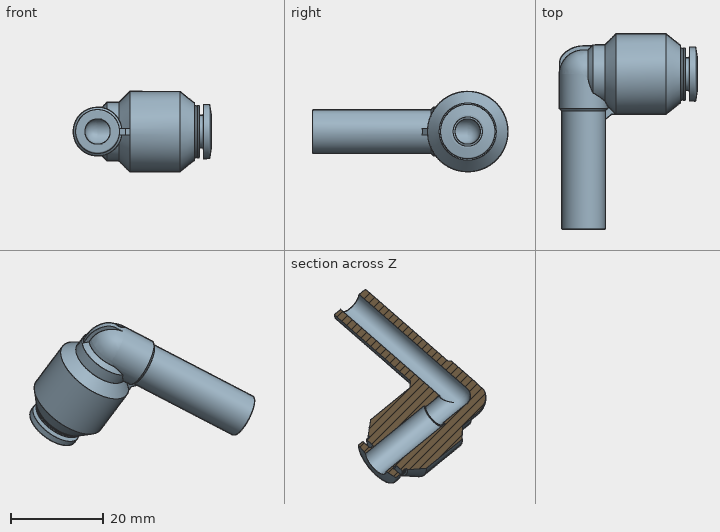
import cadquery as cq
import math


stem_end = 33.7
release_end = 24.69

elbow_radius = 5.3
elbow_collar_end = 7.97
stem_radius = 9.53 / 2
stem_end_fillet = 0.3
bore_radius = 5.5 / 2

neck_start = 0.97
neck_radius = 6.37
body_start = 7.0
body_end = 17.87
body_radius = 17.5 / 2
nose_end = 21.07
nose_radius = 6.2
tube_radius = 6.35 / 2

ring_end = 22.1
ring_radius = 11.4 / 2
ring_chamfer = 0.13
ring_groove_start = 21.4
ring_groove_width = 0.25
ring_groove_depth = 0.12

button_shank_radius = 7.15 / 2
button_start = 22.94
button_rim_end = 24.35
button_radius = 11.8 / 2
button_face_radius = 3.6
button_fillet = 0.25

web_thickness = 1.4
outer_web_left = -5.22
outer_web_radius = 6.15
outer_web_corner_radius = 2.8
gusset_flat_start = 6.07
gusset_rise = 1.1
web_overlap = 1.0


def make_stem():
    """Stem with a rounded end and a collar with a 45 degree chamfer, turned about Y."""
    collar_chamfer = elbow_radius - stem_radius
    profile = [
        (0, 0),
        (elbow_radius, 0),
        (elbow_radius, -elbow_collar_end + collar_chamfer),
        (stem_radius, -elbow_collar_end),
        (stem_radius, -stem_end),
        (0, -stem_end),
    ]
    stem = cq.Workplane("XY").polyline(profile).close().revolve(360, (0, 0, 0), (0, 1, 0))
    return stem.faces("<Y").edges().fillet(stem_end_fillet)


def make_socket():
    """Elbow arm, neck and socket body, turned about X with 45 degree rear cones."""
    neck_cone_end = neck_start + neck_radius - elbow_radius
    body_cone_start = body_start - (body_radius - neck_radius)
    profile = [
        (0, 0),
        (0, elbow_radius),
        (neck_start, elbow_radius),
        (neck_cone_end, neck_radius),
        (body_cone_start, neck_radius),
        (body_start, body_radius),
        (body_end, body_radius),
        (nose_end, nose_radius),
        (nose_end, 0),
    ]
    return cq.Workplane("XY").polyline(profile).close().revolve(360, (0, 0, 0), (1, 0, 0))


def make_ring():
    """Grooved retaining ring, turned about X."""
    groove_end = ring_groove_start + ring_groove_width
    groove_radius = ring_radius - ring_groove_depth
    profile = [
        (body_end, 0),
        (body_end, ring_radius),
        (ring_groove_start, ring_radius),
        (ring_groove_start, groove_radius),
        (groove_end, groove_radius),
        (groove_end, ring_radius),
        (ring_end - ring_chamfer, ring_radius),
        (ring_end, ring_radius - ring_chamfer),
        (ring_end, 0),
    ]
    return cq.Workplane("XY").polyline(profile).close().revolve(360, (0, 0, 0), (1, 0, 0))


def make_button():
    """Release button with a shallow conical face, rounded rim and filleted shank, turned about X."""
    profile = [
        (body_end, 0),
        (body_end, button_shank_radius),
        (button_start, button_shank_radius),
        (button_start, button_radius),
        (button_rim_end, button_radius),
        (release_end, button_face_radius),
        (release_end, 0),
    ]
    button = cq.Workplane("XY").polyline(profile).close().revolve(360, (0, 0, 0), (1, 0, 0))
    rim = cq.selectors.NearestToPointSelector((button_rim_end, 0, 0))
    root_box_half = button_shank_radius + button_fillet
    shank_root = cq.selectors.BoxSelector(
        (button_start - button_fillet, -root_box_half, -root_box_half),
        (button_start + button_fillet, root_box_half, root_box_half),
        boundingbox=True,
    )
    return button.edges(rim).fillet(button_fillet).edges(shank_root).fillet(button_fillet)


def make_outer_web():
    """Web around the bend: an arc about the origin, blended into a flat left side."""
    web_end = neck_start + web_overlap
    centre_distance = outer_web_radius - outer_web_corner_radius
    corner_x = outer_web_left + outer_web_corner_radius
    corner_y = math.sqrt(centre_distance**2 - corner_x**2)
    blend_x = corner_x * outer_web_radius / centre_distance
    blend_y = corner_y * outer_web_radius / centre_distance
    return (
        cq.Workplane("XY")
        .moveTo(web_end, 0)
        .lineTo(outer_web_left, 0)
        .lineTo(outer_web_left, corner_y)
        .tangentArcPoint((blend_x, blend_y), relative=False)
        .tangentArcPoint((0, outer_web_radius), relative=False)
        .lineTo(web_end, outer_web_radius)
        .close()
        .extrude(web_thickness / 2, both=True)
    )


def make_gusset():
    """Sloped web inside the bend, joining the stem to the rear of the body."""
    slope = gusset_rise / (gusset_flat_start - stem_radius)
    inner_x = stem_radius - web_overlap
    slope_end = -body_radius - slope * (gusset_flat_start - inner_x)
    outline = [
        (inner_x, -neck_radius + web_overlap),
        (inner_x, slope_end),
        (gusset_flat_start, -body_radius),
        (body_start, -body_radius),
        (body_start, -neck_radius + web_overlap),
    ]
    return cq.Workplane("XY").polyline(outline).close().extrude(web_thickness / 2, both=True)


def make_passage():
    """Flow bore with a rounded bend, opening into the tube bore."""
    stem_bore = cq.Workplane("XZ").circle(bore_radius).extrude(stem_end)
    arm_bore = cq.Workplane("YZ").circle(bore_radius).extrude(body_start)
    bend = cq.Workplane("XY").sphere(bore_radius)
    tube_bore = (
        cq.Workplane("YZ", origin=(body_start, 0, 0))
        .circle(tube_radius)
        .extrude(release_end - body_start)
    )
    return stem_bore.union(arm_bore).union(bend).union(tube_bore)


elbow = make_stem().union(make_socket()).union(cq.Workplane("XY").sphere(elbow_radius))
fitting = elbow.union(make_ring()).union(make_button())
fitting = fitting.union(make_outer_web()).union(make_gusset())
result = fitting.cut(make_passage())